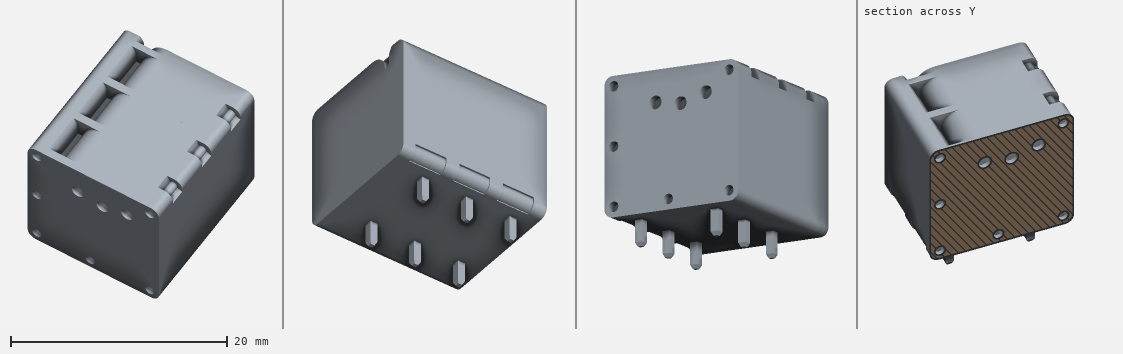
import cadquery as cq
import math

WIDTH = 14.4
STACK_LENGTH = 16.4
TOTAL_HEIGHT = 16.0
BODY_HEIGHT = 13.5
EDGE_RADIUS = 0.9

HOUSING_COUNT = 3
HOUSING_PITCH = 5.0
PLATE_START = HOUSING_COUNT * HOUSING_PITCH
PLATE_THICKNESS = STACK_LENGTH - PLATE_START

HOLE_DEPTH = 1.0
PEG_DIAMETER = 1.0
PEG_INSET = 1.0
LEFT_PEG_X = PEG_INSET
RIGHT_PEG_X = WIDTH - PEG_INSET
LOW_PEG_Z = PEG_INSET
HIGH_PEG_Z = BODY_HEIGHT - PEG_INSET
MIDDLE_PEG_X = 6.87
PEG_POINTS = [
    (LEFT_PEG_X, LOW_PEG_Z),
    (LEFT_PEG_X, BODY_HEIGHT / 2),
    (LEFT_PEG_X, HIGH_PEG_Z),
    (MIDDLE_PEG_X, LOW_PEG_Z),
    (RIGHT_PEG_X, LOW_PEG_Z),
    (RIGHT_PEG_X, HIGH_PEG_Z),
]
LARGE_HOLE_DIAMETER = 1.3
LARGE_HOLE_POINTS = [(5.5, 10.38), (8.2, 9.97), (10.9, 10.68)]

DRUM_DIAMETER = 4.0
DRUM_RADIUS = DRUM_DIAMETER / 2
DRUM_X = 4.94
POCKET_FLOOR_Z = BODY_HEIGHT - DRUM_RADIUS
POCKET_WALL_RADIUS = 1.3
POCKET_WALL_FOOT_X = 2.33
HOUSING_POCKET_FRONT = 0.8
PLATE_POCKET_FRONT = 0.69

NOTCH_WIDTH = 1.6
NOTCH_CENTRE = 3.2
NOTCH_TOP_X = 12.76
NOTCH_BAR_ANGLE = 130.0
NOTCH_LEDGE_ANGLE = 30.0

RECESS_HEIGHT = 1.38
RECESS_FRONT = 1.5
RECESS_CORE_RADIUS = 0.9

PIN_SIZE = 0.8
PIN_TIP_SIZE = 0.43
PIN_TIP_LENGTH = 0.38
PIN_LENGTH = TOTAL_HEIGHT - BODY_HEIGHT
PIN_X_POSITIONS = [2.56, 10.71]
PIN_Y_OFFSET = 2.3


def section_plane(y):
    """XZ sketch plane at depth y; a negative extrusion runs toward +Y."""
    return cq.Workplane("XZ", origin=(0, y, 0))


def rounded_block(front, length):
    """Slab of the stack with its four long edges rounded."""
    block = cq.Workplane("XY").box(WIDTH, length, BODY_HEIGHT, centered=False)
    return block.edges("|Y").fillet(EDGE_RADIUS).translate((0, front, 0))


def top_pocket(front, back):
    """Cutter between the rounded wall on the left and the drum on the right, open at the back."""
    wall_rise = BODY_HEIGHT - HIGH_PEG_Z
    wall_top_x = LEFT_PEG_X + math.sqrt(POCKET_WALL_RADIUS**2 - wall_rise**2)
    half_angle = math.asin(wall_rise / POCKET_WALL_RADIUS) / 2
    wall_middle = (
        LEFT_PEG_X + POCKET_WALL_RADIUS * math.cos(half_angle),
        HIGH_PEG_Z + POCKET_WALL_RADIUS * math.sin(half_angle),
    )
    wall_arc_end = (LEFT_PEG_X + POCKET_WALL_RADIUS, HIGH_PEG_Z)
    drum_diagonal = DRUM_RADIUS * math.sqrt(0.5)
    drum_middle = (DRUM_X - drum_diagonal, POCKET_FLOOR_Z + drum_diagonal)
    return (
        section_plane(front)
        .moveTo(wall_top_x, BODY_HEIGHT)
        .threePointArc(wall_middle, wall_arc_end)
        .lineTo(POCKET_WALL_FOOT_X, POCKET_FLOOR_Z)
        .lineTo(DRUM_X - DRUM_RADIUS, POCKET_FLOOR_Z)
        .threePointArc(drum_middle, (DRUM_X, BODY_HEIGHT))
        .close()
        .extrude(front - back)
    )


def edge_notch():
    """Cutter for the upper right edge that leaves a round bar standing in the notch."""
    front = NOTCH_CENTRE - NOTCH_WIDTH / 2
    bar_radius = PEG_DIAMETER / 2
    bar_angle = math.radians(NOTCH_BAR_ANGLE)
    bar_start = (
        RIGHT_PEG_X + bar_radius * math.cos(bar_angle),
        HIGH_PEG_Z + bar_radius * math.sin(bar_angle),
    )
    bar_end_x = RIGHT_PEG_X + bar_radius
    ledge_drop = (WIDTH - bar_end_x) * math.tan(math.radians(NOTCH_LEDGE_ANGLE))
    return (
        section_plane(front)
        .moveTo(NOTCH_TOP_X, BODY_HEIGHT)
        .lineTo(*bar_start)
        .threePointArc((RIGHT_PEG_X, HIGH_PEG_Z + bar_radius), (bar_end_x, HIGH_PEG_Z))
        .lineTo(WIDTH, HIGH_PEG_Z - ledge_drop)
        .lineTo(WIDTH, BODY_HEIGHT)
        .close()
        .extrude(-NOTCH_WIDTH)
    )


def edge_recess():
    """Cutter for the lower left edge that leaves a round core; it is open at the back."""
    length = HOUSING_PITCH - RECESS_FRONT
    corner = section_plane(RECESS_FRONT).rect(LEFT_PEG_X, RECESS_HEIGHT, centered=False).extrude(-length)
    core = (
        section_plane(RECESS_FRONT)
        .center(LEFT_PEG_X, LOW_PEG_Z)
        .circle(RECESS_CORE_RADIUS)
        .extrude(-length)
    )
    return corner.cut(core)


def front_holes(points, diameter):
    """Cutters for blind holes of one diameter in the front face."""
    return section_plane(0).pushPoints(points).circle(diameter / 2).extrude(-HOLE_DEPTH)


def make_housing(front):
    """One housing of the stack, its front face at y = front."""
    housing = rounded_block(0, HOUSING_PITCH)
    housing = housing.cut(top_pocket(HOUSING_POCKET_FRONT, HOUSING_PITCH))
    housing = housing.cut(edge_notch())
    housing = housing.cut(edge_recess())
    housing = housing.cut(front_holes(PEG_POINTS, PEG_DIAMETER))
    housing = housing.cut(front_holes(LARGE_HOLE_POINTS, LARGE_HOLE_DIAMETER))
    return housing.translate((0, front, 0))


def make_end_plate():
    """Plate that closes the back of the stack and carries a short stretch of the pocket."""
    plate = rounded_block(PLATE_START, PLATE_THICKNESS)
    return plate.cut(top_pocket(PLATE_START + PLATE_POCKET_FRONT, STACK_LENGTH))


def make_pin(x, y):
    """Square pin that hangs from the underside of a housing and tapers at the tip."""
    shank_length = PIN_LENGTH - PIN_TIP_LENGTH
    shank = cq.Workplane("XY").rect(PIN_SIZE, PIN_SIZE).extrude(-shank_length)
    tip = (
        cq.Workplane("XY", origin=(0, 0, -shank_length))
        .rect(PIN_SIZE, PIN_SIZE)
        .workplane(offset=-PIN_TIP_LENGTH)
        .rect(PIN_TIP_SIZE, PIN_TIP_SIZE)
        .loft(ruled=True)
    )
    return shank.union(tip).translate((x, y, 0))


housings = []
pins = []
for index in range(HOUSING_COUNT):
    housing_front = index * HOUSING_PITCH
    housings.append(make_housing(housing_front).val())
    for pin_x in PIN_X_POSITIONS:
        pins.append(make_pin(pin_x, housing_front + PIN_Y_OFFSET).val())

end_plate = make_end_plate()

result = cq.Compound.makeCompound([*housings, end_plate.val(), *pins])